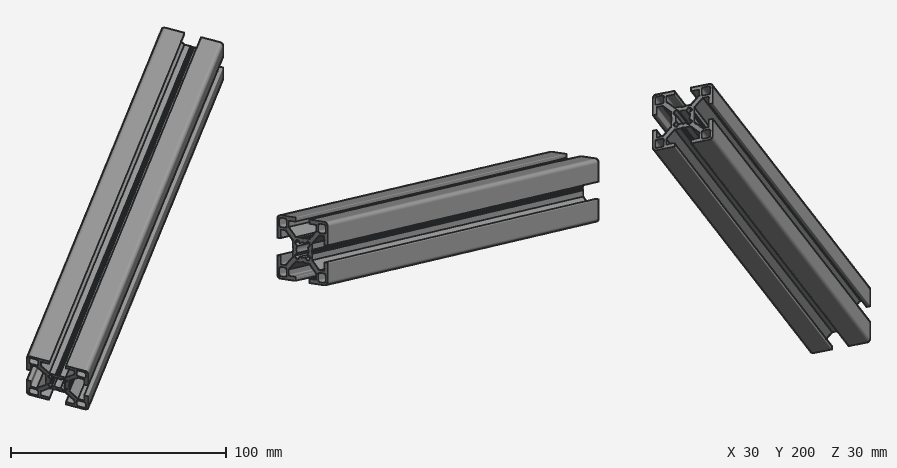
import cadquery as cq
import math

length = 200.0
width = 30.0
corner_radius = 2.0

slot_opening = 8.2
slot_inner_width = 16.5
lip_thickness = 2.0
lip_radius = 0.3
root_radius = 0.5
core_width = 11.5
strut_thickness = 2.5

groove_mouth = 2.0
groove_bottom = 0.8
groove_depth = 0.2

pocket_size = 4.5
pocket_wall = 1.2
pocket_radius = 1.1

bore_radius = 3.5
channel_width = 2.2
channel_reach = 5.5

half_width = width / 2
half_core = core_width / 2
overshoot = 2.0
quarter_turns = [0, 90, 180, 270]


def prism(outline):
    """Extrude a closed XZ outline along the whole length of the bar."""
    return outline.extrude(length / 2, both=True)


def turned(shape, angle):
    """Turn a shape about the bar's axis."""
    return shape.rotate((0, 0, 0), (0, 1, 0), angle)


def body():
    return prism(cq.Workplane("XZ").rect(width, width)).edges("|Y").fillet(corner_radius)


def slot():
    """The slot opening towards +Z, with its floor groove."""
    strut_offset = strut_thickness / math.sqrt(2)
    floor_x = half_core - strut_offset
    wall_x = slot_inner_width / 2
    wall_z = wall_x + strut_offset
    lip_z = half_width - lip_thickness
    lip_x = slot_opening / 2
    arc_inset = lip_radius * (1 - math.sqrt(0.5))
    half_outline = (
        cq.Workplane("XZ")
        .moveTo(0, half_core - groove_depth)
        .lineTo(groove_bottom / 2, half_core - groove_depth)
        .lineTo(groove_mouth / 2, half_core)
        .lineTo(floor_x, half_core)
        .lineTo(wall_x, wall_z)
        .lineTo(wall_x, lip_z - root_radius)
        .tangentArcPoint((wall_x - root_radius, lip_z), relative=False)
        .lineTo(lip_x + lip_radius, lip_z)
        .threePointArc((lip_x + arc_inset, lip_z + arc_inset), (lip_x, lip_z + lip_radius))
        .lineTo(lip_x, half_width - lip_radius)
        .threePointArc((lip_x + arc_inset, half_width - arc_inset), (lip_x + lip_radius, half_width))
        .lineTo(lip_x + lip_radius, half_width + overshoot)
        .lineTo(0, half_width + overshoot)
    )
    return prism(half_outline.mirrorY())


def corner_pocket():
    """The square hollow in the +X +Z corner."""
    centre = half_width - pocket_wall - pocket_size / 2
    outline = cq.Workplane("XZ").center(centre, centre).rect(pocket_size, pocket_size)
    return prism(outline).edges("|Y").fillet(pocket_radius)


def core_opening():
    """The bore and its diagonal channels, whose ends lie on one circle about the axis."""
    strip = prism(cq.Workplane("XZ").rect(channel_width, 2 * channel_reach))
    reach_cylinder = prism(cq.Workplane("XZ").circle(channel_reach))
    channel_pair = strip.intersect(reach_cylinder)
    bore = prism(cq.Workplane("XZ").circle(bore_radius))
    return bore.union(turned(channel_pair, 45)).union(turned(channel_pair, -45))


result = body().cut(core_opening())
for angle in quarter_turns:
    result = result.cut(turned(slot(), angle))
    result = result.cut(turned(corner_pocket(), angle))